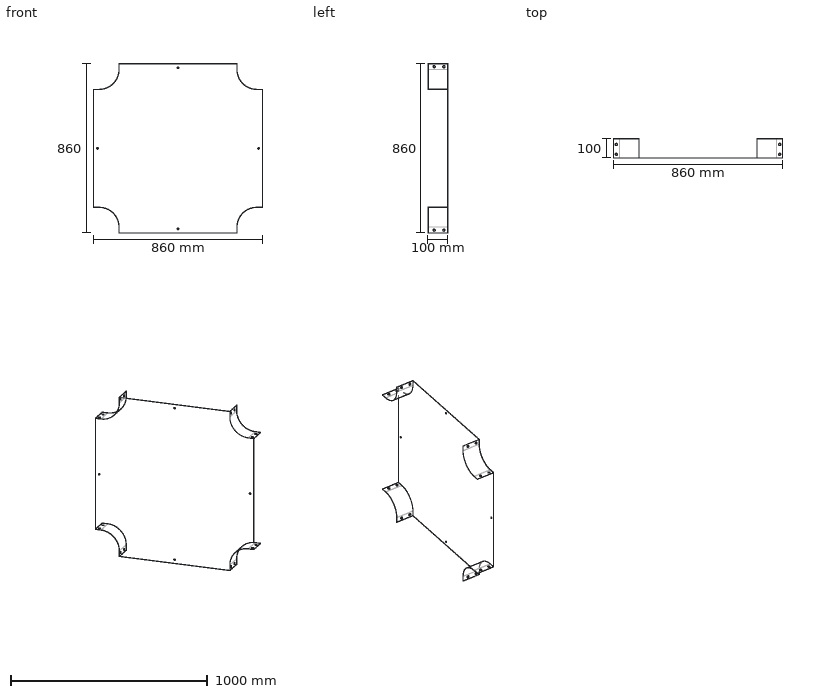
import cadquery as cq
import math

side = 860.0
depth = 100.0
thickness = 1.0

corner_radius = 100.0
tab_length = 30.0

plate_hole_diameter = 7.0
plate_hole_inset = 21.0

tab_hole_diameter = 10.0
tab_hole_pitch = depth / 2
first_tab_hole_depth = 20.0

half_side = side / 2
tab_start = half_side - tab_length
edge_half_length = tab_start - corner_radius
tab_hole_position = half_side - tab_length / 2


def turned(point, quarter_turns):
    """Turn a point about the plate centre by quarter turns, clockwise."""
    x, z = point
    for _ in range(quarter_turns):
        x, z = z, -x
    return (x, z)


def plate_prism(corner_offset, front):
    """Plate outline from y = front to the back, its corners moved inward by corner_offset."""
    edge_end = edge_half_length - corner_offset
    arc_middle = tab_start - (corner_radius + corner_offset) * math.sqrt(0.5)
    outline = cq.Workplane("XZ", origin=(0, front, 0)).moveTo(-edge_end, half_side)
    for quarter in range(4):
        outline = outline.lineTo(*turned((edge_end, half_side), quarter))
        outline = outline.lineTo(*turned((edge_end, tab_start), quarter))
        outline = outline.threePointArc(
            turned((arc_middle, arc_middle), quarter),
            turned((tab_start, edge_end), quarter),
        )
        outline = outline.lineTo(*turned((half_side, edge_end), quarter))
    return outline.close().extrude(front - depth)


def flanged_plate():
    """Plate with a wall of sheet thickness behind each concave corner."""
    return plate_prism(0, 0).cut(plate_prism(thickness, thickness))


def plate_holes():
    """One hole near the middle of each plate edge."""
    centres = cq.Workplane("XZ").polarArray(half_side - plate_hole_inset, 0, 360, 4)
    return centres.circle(plate_hole_diameter / 2).extrude(-thickness)


def tab_holes():
    """Pairs of holes along Z through the tabs on the left and right sides."""
    first = first_tab_hole_depth
    centres = cq.Workplane("XY").pushPoints(
        [(x, y) for x in (-tab_hole_position, tab_hole_position) for y in (first, first + tab_hole_pitch)]
    )
    return centres.circle(tab_hole_diameter / 2).extrude(half_side, both=True)


side_tab_holes = tab_holes()
end_tab_holes = side_tab_holes.rotate((0, 0, 0), (0, 1, 0), 90)

result = flanged_plate().cut(plate_holes()).cut(side_tab_holes).cut(end_tab_holes)